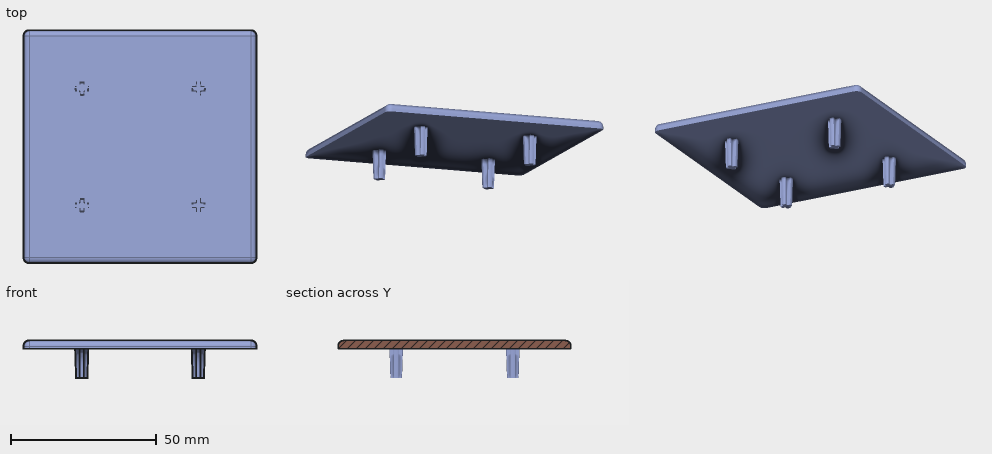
import cadquery as cq

plate_side = 80.0
plate_thickness = 3.0
edge_radius = 2.0

peg_spacing = plate_side / 2
peg_length = 10.0
peg_root_diameter = 4.6
peg_tip_diameter = 4.0
rib_thickness = 1.5
rib_corner_radius = 0.2


def make_plate():
    """Plate with its underside at Z = 0 and rounded top and corner edges."""
    plate = cq.Workplane("XY").box(
        plate_side, plate_side, plate_thickness, centered=(True, True, False)
    )
    plate = plate.edges("|Z").fillet(edge_radius)
    return plate.faces(">Z").edges().fillet(edge_radius)


def make_cross():
    """Straight cross of two equal ribs with small fillets in the inner corners."""
    cross = (
        cq.Workplane("XY")
        .rect(peg_root_diameter, rib_thickness)
        .extrude(-peg_length)
        .union(cq.Workplane("XY").rect(rib_thickness, peg_root_diameter).extrude(-peg_length))
    )
    inner_corners = cq.selectors.BoxSelector(
        (-rib_thickness, -rib_thickness, -peg_length),
        (rib_thickness, rib_thickness, 0),
    )
    return cross.edges("|Z").edges(inner_corners).fillet(rib_corner_radius)


def make_peg():
    """Cross trimmed by a cone, so the rib ends are rounded and taper to the tip."""
    cone = (
        cq.Workplane("XY")
        .circle(peg_root_diameter / 2)
        .workplane(offset=-peg_length)
        .circle(peg_tip_diameter / 2)
        .loft()
    )
    return make_cross().intersect(cone)


peg = make_peg()
result = make_plate()
for x_side in (-1, 1):
    for y_side in (-1, 1):
        peg_position = (x_side * peg_spacing / 2, y_side * peg_spacing / 2, 0)
        result = result.union(peg.translate(peg_position))